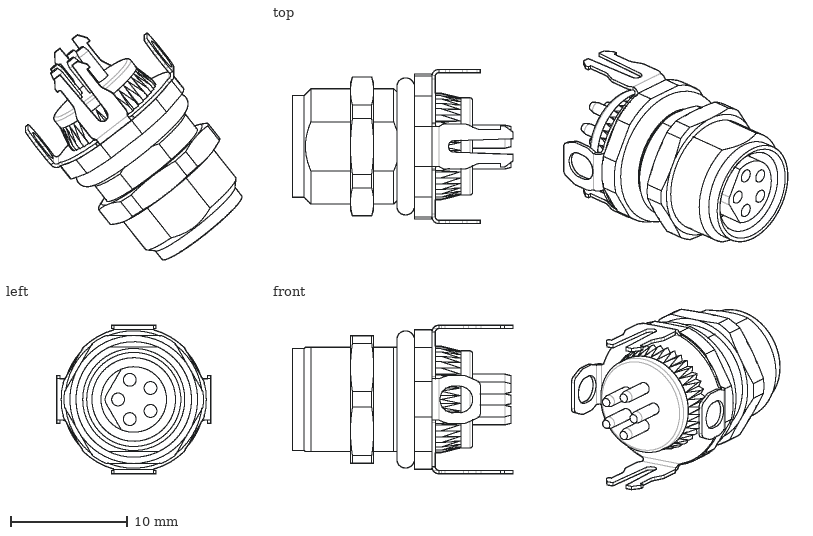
import cadquery as cq
import math


nose_radius = 8.8 / 2
nose_length = 1.0
barrel_radius = 4.98
barrel_flat_half = 4.5
neck_radius = nose_radius
barrel_slope = barrel_radius - nose_radius
barrel_end = 8.72

bore_radius = 7.2 / 2
bore_chamfer = 0.45
floor_x = 3.8
insert_radius = 5.65 / 2
insert_front = 0.48
key_apex = 2.58
key_half_angle = 60.0
key_round = 0.76
contact_hole_diameter = 1.1
contact_hole_depth = 2.28

flange_start = 10.5
flange_end = 12.0
flange_radius = 6.25
flange_across_flats = 12.03

crest_radius = 4.6
tail_radius = 8.4 / 2
knurl_teeth = 40
taper_start = 12.8
taper_end_radius = 4.18
knurl_end = 14.5
tail_end = 15.52
tail_round = 0.25

single_contact_y = 1.35
side_contact = (0.35, 1.7)
rear_contact = (-1.45, 0.99)
contact_places = [(single_contact_y, 0)]
for contact_y, contact_z in (side_contact, rear_contact):
    contact_places += [(contact_y, contact_z), (contact_y, -contact_z)]
pin_diameter = 1.0
pin_end = 18.83
pin_tip_length = 0.53
pin_tip_depth = 0.13

sheet = 0.3
clip_radius = 6.14
bend_radius = 0.6
bend_end = flange_end + bend_radius
outline_round = 1.0
root_fillet = 0.3
root_base = 4.75

lug_offset = 6.65
lug_root_half = 1.79
lug_half = 2.07
lug_shoulder = 13.35
lug_taper_start = 14.85
lug_end = 16.19
lug_end_half = 1.48
lug_corner_round = 0.5
lug_hole_center = 14.12
lug_hole_length = 2.81
lug_hole_width = 2.28

fork_offset = 6.4
fork_root_half = 1.71
fork_half = 1.94
fork_shoulder = 12.98
fork_shoulder_round = 0.5
fork_taper_start = 14.97
prong_start = 16.0
prong_half = 1.46
barb_start = 17.94
barb_half = 1.77
barb_slope_start = 18.28
fork_end = 19.0
fork_tip_half = 1.25
slot_center = 13.93
slot_radius = 0.5
slot_mouth_half = 0.66

nut_start = 5.0
nut_end = 7.0
nut_across_flats = 11.0
nut_corner_radius = 6.0
nut_chamfer_length = 0.17

ring_section_radius = 0.76


def revolve_about_x(profile):
    """Turn a profile, drawn in X and radius, about the X axis."""
    return profile.close().revolve(360, (0, 0, 0), (1, 0, 0))


def rod(start, end, radius):
    """Cylinder on the X axis."""
    return cq.Workplane("YZ", origin=(start, 0, 0)).circle(radius).extrude(end - start)


def hex_bar(start, end, across_flats):
    """Hexagonal bar on the X axis with flats above and below."""
    across_corners = across_flats / math.cos(math.radians(30))
    return cq.Workplane("YZ", origin=(start, 0, 0)).polygon(6, across_corners).extrude(end - start)


def make_shell():
    """Nose, flatted barrel and O-ring neck, with solid core up to the flange."""
    neck_start = barrel_end + barrel_radius - neck_radius
    profile = (
        cq.Workplane("XY")
        .polyline([
            (0, 0),
            (0, nose_radius),
            (nose_length, nose_radius),
            (nose_length + barrel_slope, barrel_radius),
            (barrel_end, barrel_radius),
            (neck_start, neck_radius),
            (flange_start, neck_radius),
            (flange_start, 0),
        ])
    )
    flats = cq.Workplane("XY").box(
        flange_start, 2 * barrel_radius, 2 * barrel_flat_half, centered=(False, True, True)
    )
    return revolve_about_x(profile).intersect(flats)


def make_socket():
    """Open space of the socket: chamfered bore with a rounded seal ring on its floor."""
    seal_height = (bore_radius - insert_radius) / 2
    profile = (
        cq.Workplane("XY")
        .moveTo(0, 0)
        .lineTo(0, bore_radius + bore_chamfer)
        .lineTo(bore_chamfer, bore_radius)
        .lineTo(floor_x, bore_radius)
        .threePointArc((floor_x - seal_height, bore_radius - seal_height), (floor_x, insert_radius))
        .lineTo(floor_x, 0)
    )
    return revolve_about_x(profile)


def make_insert():
    """Contact carrier: a round plug with a rounded V on its +Y side."""
    length = floor_x - insert_front
    wedge_reach = 2 * insert_radius
    wedge_half_width = (key_apex + wedge_reach) * math.tan(math.radians(key_half_angle))
    wedge = (
        cq.Workplane("YZ", origin=(insert_front, 0, 0))
        .polyline([(key_apex, 0), (-wedge_reach, wedge_half_width), (-wedge_reach, -wedge_half_width)])
        .close()
        .extrude(length)
        .edges("|X and >Y")
        .fillet(key_round)
    )
    return rod(insert_front, floor_x, insert_radius).intersect(wedge)


def make_contact_holes():
    """Blind holes into the front face of the insert."""
    return (
        cq.Workplane("YZ", origin=(insert_front, 0, 0))
        .pushPoints(contact_places)
        .circle(contact_hole_diameter / 2)
        .extrude(contact_hole_depth)
    )


def make_flange():
    """Round flange with six wrench flats."""
    disc = rod(flange_start, flange_end, flange_radius)
    return disc.intersect(hex_bar(flange_start, flange_end, flange_across_flats))


def make_knurl():
    """Sharp teeth along X, tapered down to just below the tail."""
    star = []
    for step in range(2 * knurl_teeth):
        radius = crest_radius if step % 2 == 0 else tail_radius
        angle = math.pi * step / knurl_teeth
        star.append((radius * math.cos(angle), radius * math.sin(angle)))
    teeth = (
        cq.Workplane("YZ", origin=(flange_end, 0, 0))
        .polyline(star)
        .close()
        .extrude(knurl_end - flange_end)
    )
    envelope = cq.Workplane("XY").polyline([
        (flange_end, 0),
        (flange_end, crest_radius),
        (taper_start, crest_radius),
        (knurl_end, taper_end_radius),
        (knurl_end, 0),
    ])
    return teeth.intersect(revolve_about_x(envelope))


def make_tail():
    """Plain collar behind the knurl, with a rounded rear edge."""
    return rod(knurl_end, tail_end, tail_radius).faces(">X").edges().fillet(tail_round)


def make_pins():
    """Solder pins with tapered tips, starting from the rear face."""
    radius = pin_diameter / 2
    profile = cq.Workplane("XY").polyline([
        (tail_end, 0),
        (tail_end, radius),
        (pin_end - pin_tip_length, radius),
        (pin_end, radius - pin_tip_depth),
        (pin_end, 0),
    ])
    pin = revolve_about_x(profile)
    return [pin.translate((0, pin_y, pin_z)) for pin_y, pin_z in contact_places]


def make_bend(offset, half_width):
    """Strip bent from radial to axial, for an arm above the axis."""
    center_z = offset - bend_radius
    inner_radius = bend_radius - sheet
    diagonal = math.sqrt(0.5)
    return (
        cq.Workplane("XZ", origin=(0, half_width, 0))
        .moveTo(flange_end, root_base)
        .lineTo(flange_end, center_z)
        .threePointArc(
            (bend_end - bend_radius * diagonal, center_z + bend_radius * diagonal),
            (bend_end, offset),
        )
        .lineTo(bend_end, offset - sheet)
        .threePointArc(
            (bend_end - inner_radius * diagonal, center_z + inner_radius * diagonal),
            (flange_end + sheet, center_z),
        )
        .lineTo(flange_end + sheet, root_base)
        .close()
        .extrude(2 * half_width)
    )


def make_arm_root(offset, half_width):
    """Bent root of an arm, flaring with fillets into the rim of the clip plate."""
    rim_height = math.sqrt(clip_radius**2 - half_width**2)
    middle_x = (flange_end + bend_end) / 2
    strip = cq.Workplane("XY").box(
        bend_radius, 2 * half_width, offset, centered=(False, True, False)
    ).translate((flange_end, 0, 0))
    outline = rod(flange_end, bend_end, clip_radius).union(strip)
    for side in (1, -1):
        corner = cq.selectors.NearestToPointSelector((middle_x, side * half_width, rim_height))
        outline = outline.edges("|X").edges(corner).fillet(root_fillet)
    return make_bend(offset, half_width + root_fillet).intersect(outline)


def make_blade(half_outline, offset):
    """Flat arm above the axis, mirrored about its centre line."""
    outline = half_outline + [(x, -y) for x, y in reversed(half_outline)]
    return (
        cq.Workplane("XY", origin=(0, 0, offset - sheet))
        .polyline(outline)
        .close()
        .extrude(sheet)
    )


def round_corners(blade, corners, offset, radius):
    """Round the given outline corners of an arm on both of its sides."""
    for x, y in corners:
        for side in (1, -1):
            corner = cq.selectors.NearestToPointSelector((x, side * y, offset - sheet / 2))
            blade = blade.edges("|Z").edges(corner).fillet(radius)
    return blade


def make_lug():
    """Solder lug with an oblong hole, built above the axis."""
    shoulder = (lug_shoulder, lug_half)
    taper_corner = (lug_taper_start, lug_half)
    end_corner = (lug_end, lug_end_half)
    blade = make_blade([(bend_end, lug_root_half), shoulder, taper_corner, end_corner], lug_offset)
    blade = round_corners(blade, [shoulder, taper_corner], lug_offset, outline_round)
    blade = round_corners(blade, [end_corner], lug_offset, lug_corner_round)
    hole = (
        cq.Workplane("XY", origin=(lug_hole_center, 0, lug_offset - sheet))
        .slot2D(lug_hole_length, lug_hole_width)
        .extrude(sheet)
    )
    return blade.cut(hole).union(make_arm_root(lug_offset, lug_root_half))


def make_fork():
    """Snap-in fork with two barbed prongs, built above the axis."""
    shoulder = (fork_shoulder, fork_half)
    taper_corner = (fork_taper_start, fork_half)
    prong_corner = (prong_start, prong_half)
    blade = make_blade(
        [
            (bend_end, fork_root_half),
            shoulder,
            taper_corner,
            prong_corner,
            (barb_start, prong_half),
            (barb_start, barb_half),
            (barb_slope_start, barb_half),
            (fork_end, fork_tip_half),
        ],
        fork_offset,
    )
    blade = round_corners(blade, [taper_corner, prong_corner], fork_offset, outline_round)
    blade = round_corners(blade, [shoulder], fork_offset, fork_shoulder_round)
    slot = (
        cq.Workplane("XY", origin=(0, 0, fork_offset - sheet))
        .moveTo(fork_end, slot_mouth_half)
        .lineTo(slot_center, slot_radius)
        .threePointArc((slot_center - slot_radius, 0), (slot_center, -slot_radius))
        .lineTo(fork_end, -slot_mouth_half)
        .close()
        .extrude(sheet)
    )
    return blade.cut(slot).union(make_arm_root(fork_offset, fork_root_half))


def make_clip():
    """Round plate against the flange, with two forks (+-Z) and two lugs (+-Y)."""
    clip = rod(flange_end, flange_end + sheet, clip_radius)
    arms = [(make_fork(), fork_offset, 0), (make_lug(), lug_offset, 90)]
    for arm, offset, start_angle in arms:
        bend_clearance = cq.Workplane("XY").box(
            sheet, clip_radius, bend_radius, centered=(False, True, False)
        ).translate((flange_end, 0, offset - bend_radius))
        for angle in (start_angle, start_angle + 180):
            clip = clip.cut(bend_clearance.rotate((0, 0, 0), (1, 0, 0), angle))
            clip = clip.union(arm.rotate((0, 0, 0), (1, 0, 0), angle))
    return clip


def make_connector():
    """Shell, contact insert, flange, knurled tail, pins and clip as one solid."""
    connector = make_shell().cut(make_socket()).union(make_insert()).cut(make_contact_holes())
    connector = connector.union(make_flange()).union(make_knurl()).union(make_tail())
    for pin in make_pins():
        connector = connector.union(pin)
    return connector.union(make_clip())


def make_nut():
    """Hex nut with trimmed corners; its bore leaves gaps over the barrel flats."""
    face_radius = nut_across_flats / 2
    envelope = cq.Workplane("XY").polyline([
        (nut_start, barrel_radius),
        (nut_start, face_radius),
        (nut_start + nut_chamfer_length, nut_corner_radius),
        (nut_end - nut_chamfer_length, nut_corner_radius),
        (nut_end, face_radius),
        (nut_end, barrel_radius),
    ])
    return hex_bar(nut_start, nut_end, nut_across_flats).intersect(revolve_about_x(envelope))


def make_o_ring():
    """Ring resting on the neck, against the flange."""
    center_x = flange_start - ring_section_radius
    center_radius = neck_radius + ring_section_radius
    return (
        cq.Workplane("XY")
        .center(center_x, center_radius)
        .circle(ring_section_radius)
        .revolve(360, (0, -center_radius, 0), (1, -center_radius, 0))
    )


connector = make_connector()
nut = make_nut()
o_ring = make_o_ring()

result = cq.Compound.makeCompound([body.solids().val() for body in (connector, nut, o_ring)])